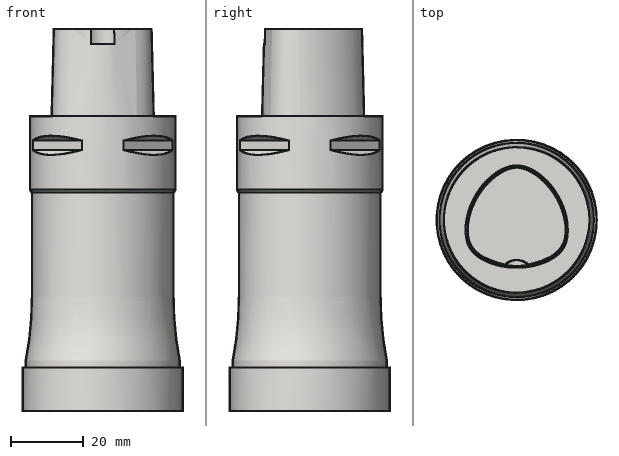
import cadquery as cq
import math

RING_HEIGHT = 12.0
FLANGE_TOP = 81.0
SHANK_HEIGHT = 24.0

RING_DIAMETER = 44.0

NECK_DIAMETER = 39.0
FLARE_DIAMETER = 42.4
FLARE_BOTTOM = 13.8
FLARE_TOP = 31.3
FLANGE_DIAMETER = 40.0
FLANGE_CHAMFER_WIDTH = (FLANGE_DIAMETER - NECK_DIAMETER) / 2
FLANGE_CHAMFER_HEIGHT = 0.8
FLANGE_BOTTOM = 60.0

GROOVE_COUNT = 4
GROOVE_FIRST_ANGLE = 45.0
GROOVE_CENTER_Z = 73.0
GROOVE_FLOOR_DISTANCE = 17.6
GROOVE_FLOOR_WIDTH = 2.5
GROOVE_SIDE_ANGLE = 30.0
GROOVE_OVERSHOOT = 1.0

SHANK_BASE_DIAMETER = 28.1
SHANK_TAPER = 1 / 20
SHANK_TOP_DIAMETER = SHANK_BASE_DIAMETER - SHANK_TAPER * SHANK_HEIGHT
LOBE_ECCENTRICITY = 0.92
LOBE_COUNT = 3
SPAN_COUNT = 2 * LOBE_COUNT
SPAN_ANGLE = 2 * math.pi / SPAN_COUNT
LOBE_ANGLE = math.pi / 2
SPAN_STEPS = 8

NOTCH_RADIUS = 4.5
NOTCH_DEPTH = 4.2
NOTCH_INNER_Y = -11.0


def lobed_point(diameter, angle):
    """Point of a constant-width three-lobed curve whose outward normal has the given angle."""
    phase = LOBE_COUNT * (angle - LOBE_ANGLE)
    reach = diameter / 2 + LOBE_ECCENTRICITY * math.cos(phase)
    slide = -LOBE_COUNT * LOBE_ECCENTRICITY * math.sin(phase)
    x = reach * math.cos(angle) - slide * math.sin(angle)
    y = reach * math.sin(angle) + slide * math.cos(angle)
    return x, y


def lobed_wire(diameter, z):
    """Closed lobed outline made of alternating lobe and side spans."""
    edges = []
    for span in range(SPAN_COUNT):
        start = LOBE_ANGLE + (span - 0.5) * SPAN_ANGLE
        angles = [start + SPAN_ANGLE * step / SPAN_STEPS for step in range(SPAN_STEPS + 1)]
        points = [cq.Vector(*lobed_point(diameter, angle), z) for angle in angles]
        tangents = [cq.Vector(-math.sin(a), math.cos(a), 0) for a in (angles[0], angles[-1])]
        edges.append(cq.Edge.makeSpline(points, tangents=tangents))
    return cq.Wire.assembleEdges(edges)


def make_end_ring():
    return cq.Workplane("XY").circle(RING_DIAMETER / 2).extrude(RING_HEIGHT)


def make_round_body():
    """Turned body, with a concave flare tangent to the neck above a short straight foot."""
    neck_radius = NECK_DIAMETER / 2
    flare_radius = FLARE_DIAMETER / 2
    flange_radius = FLANGE_DIAMETER / 2
    return (
        cq.Workplane("XZ")
        .moveTo(0, FLANGE_TOP)
        .lineTo(flange_radius, FLANGE_TOP)
        .lineTo(flange_radius, FLANGE_BOTTOM + FLANGE_CHAMFER_HEIGHT)
        .lineTo(flange_radius - FLANGE_CHAMFER_WIDTH, FLANGE_BOTTOM)
        .lineTo(neck_radius, FLARE_TOP)
        .tangentArcPoint((flare_radius, FLARE_BOTTOM), relative=False)
        .lineTo(flare_radius, RING_HEIGHT)
        .lineTo(0, RING_HEIGHT)
        .close()
        .revolve(360, (0, 0, 0), (0, 1, 0))
    )


def make_shank():
    base = lobed_wire(SHANK_BASE_DIAMETER, FLANGE_TOP)
    top = lobed_wire(SHANK_TOP_DIAMETER, FLANGE_TOP + SHANK_HEIGHT)
    return cq.Workplane(cq.Solid.makeLoft([base, top], True))


def make_notch_cutter():
    return (
        cq.Workplane("XY", origin=(0, NOTCH_INNER_Y - NOTCH_RADIUS, FLANGE_TOP + SHANK_HEIGHT))
        .circle(NOTCH_RADIUS)
        .extrude(-NOTCH_DEPTH)
    )


def make_groove_cutter(angle):
    """Straight bar with a trapezoid section, its narrow side at the groove floor."""
    outer_distance = FLANGE_DIAMETER / 2 + GROOVE_OVERSHOOT
    floor_half = GROOVE_FLOOR_WIDTH / 2
    flare = (outer_distance - GROOVE_FLOOR_DISTANCE) * math.tan(math.radians(GROOVE_SIDE_ANGLE))
    outer_half = floor_half + flare
    return (
        cq.Workplane("XZ", origin=(0, 0, GROOVE_CENTER_Z))
        .moveTo(GROOVE_FLOOR_DISTANCE, -floor_half)
        .lineTo(outer_distance, -outer_half)
        .lineTo(outer_distance, outer_half)
        .lineTo(GROOVE_FLOOR_DISTANCE, floor_half)
        .close()
        .extrude(FLANGE_DIAMETER / 2, both=True)
        .rotate((0, 0, 0), (0, 0, 1), angle)
    )


def make_holder():
    holder = make_round_body().union(make_shank()).cut(make_notch_cutter())
    for index in range(GROOVE_COUNT):
        angle = GROOVE_FIRST_ANGLE + index * 360 / GROOVE_COUNT
        holder = holder.cut(make_groove_cutter(angle))
    return holder


end_ring = make_end_ring()
holder = make_holder()

result = cq.Compound.makeCompound([end_ring.val(), *holder.solids().vals()])